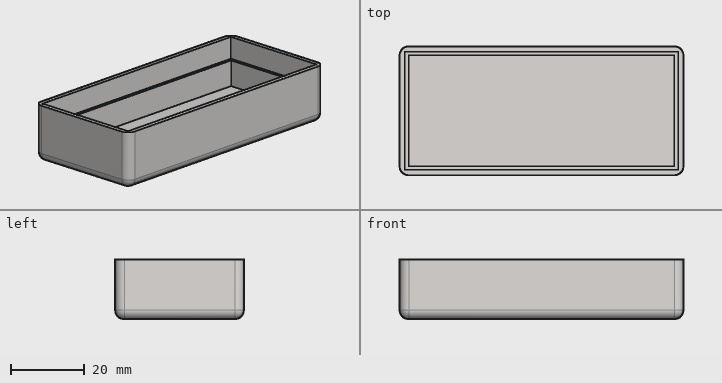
import cadquery as cq

length = 77.15
width = 35.05
height = 16.2
edge_radius = 2.5

rim_wall = 1.475
ledge_width = 1.0
well_wall = rim_wall + ledge_width
ledge_height = 9.9
floor_thickness = 2.5


def outer_body():
    """Block with rounded vertical corners and a rounded bottom edge."""
    block = cq.Workplane("XY").box(length, width, height, centered=(True, True, False))
    rounded_corners = block.edges("|Z").fillet(edge_radius)
    return rounded_corners.faces("<Z").edges().fillet(edge_radius)


def pocket(wall, bottom):
    """Square-cornered volume inset by wall, from bottom up to the rim."""
    return (
        cq.Workplane("XY")
        .workplane(offset=bottom)
        .rect(length - 2 * wall, width - 2 * wall)
        .extrude(height - bottom)
    )


opening = pocket(rim_wall, ledge_height)
well = pocket(well_wall, floor_thickness)
result = outer_body().cut(opening).cut(well)